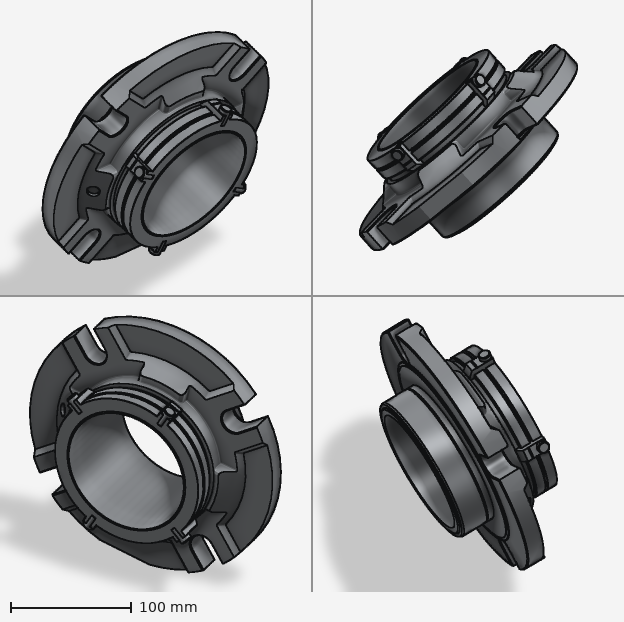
import cadquery as cq
import math


bore_d = 108.0
nose_d = 120.7
groove_d = 125.7
sleeve_d = 128.5
nose_len = 1.4
nose_chamfer = 1.1
sleeve_chamfer_len = 1.5
sleeve_chamfer_depth = 1.0
sleeve_groove_x = 25.3
sleeve_groove_w = 1.1
overall_len = 92.6
lip_d = 111.0

flange_d = 228.2
flange_x = 33.5
flange_back_x = 49.3
rim_chamfer = 1.0
raised_face_x = 32.2
raised_face_d = 165.0
raised_step_x = 32.9
raised_step_d = 171.2
raised_step_chamfer = 0.5

slot_count = 4
first_slot_angle = 32.2
slot_w = 21.0
slot_center_r = 94.0
slot_chamfer = 1.0
pad_x = 54.3
pad_base_w = 59.8
pad_top_w = 50.7

hub_d = 136.5
hub_end_x = 66.6
hub_fillet = 1.5
pad_fillet = 2.5
cone_pad_d = 167.5

boss_w = 43.0
boss_corner_r = 3.9
boss_end_x = 66.0
short_boss_end_x = 62.5
port_d = 11.0
port_depth = 3.2
port_x = 57.5

flat_chord = 48.2

ring_d = 134.9
ring_1_x = 71.5
ring_1_end_x = 81.5
ring_2_x = 83.0
ring_2_end_x = 92.2
ring_1_chamfer = 1.0
ring_2_chamfer = 0.2
pin_d = 3.7
pin_circle_d = 130.0
pin_count = 4

clip_angles = (60, 135, 240, 315)
clip_w = 11.2
clip_r = 72.5
clip_toe_r = 65.7
clip_mark_x = 76.0
clip_mark_w = 1.1
clip_mark_depth = 0.2
screw_d = 10.0
screw_top_r = 76.7
screw_chamfer = 0.7
screw_x = overall_len - screw_d / 2

TOLERANCE = 0.02
EMBED = 1.4

flange_r = flange_d / 2
root_r = groove_d / 2 - EMBED
slot_pitch = 360 / slot_count
slot_angles = [first_slot_angle + i * slot_pitch for i in range(slot_count)]
boss_angles = [angle + slot_pitch / 2 for angle in slot_angles]
short_boss_angle = boss_angles[0]
port_angle = boss_angles[1]
flat_angle = boss_angles[2]


def turned(points):
    """Revolve an (x, radius) outline about the X axis."""
    return cq.Workplane("XY").polyline(points).close().revolve(360, (0, 0, 0), (1, 0, 0))


def cylinder(diameter, start_x, end_x):
    return cq.Workplane("YZ", origin=(start_x, 0, 0)).circle(diameter / 2).extrude(end_x - start_x)


def cone_r(x):
    return cone_pad_d / 2 + pad_x - x


def about_axis(body, angle):
    """Turn a body built along +Y by an angle about X, measured from +Y towards +Z."""
    return body.rotate((0, 0, 0), (1, 0, 0), angle)


def make_sleeve():
    nose_r = nose_d / 2
    sleeve_r = sleeve_d / 2
    groove_r = groove_d / 2
    sleeve_groove_end_x = sleeve_groove_x + sleeve_groove_w
    return turned([
        (0, 0),
        (0, nose_r - nose_chamfer),
        (nose_chamfer, nose_r),
        (nose_len, nose_r),
        (nose_len, sleeve_r - sleeve_chamfer_depth),
        (nose_len + sleeve_chamfer_len, sleeve_r),
        (sleeve_groove_x, sleeve_r),
        (sleeve_groove_x, groove_r),
        (sleeve_groove_end_x, groove_r),
        (sleeve_groove_end_x, sleeve_r),
        (ring_1_end_x, sleeve_r),
        (ring_1_end_x, groove_r),
        (ring_2_end_x, groove_r),
        (ring_2_end_x, lip_d / 2),
        (overall_len, lip_d / 2),
        (overall_len, 0),
    ])


def make_slot_cutter():
    """Open slot from the rim inwards, flared at the front and at the pad face."""
    flared_w = slot_w + 2 * slot_chamfer

    def slot_outline(start_x, width):
        length = flange_r
        slot_plane = cq.Workplane("YZ", origin=(start_x, slot_center_r + length / 2, 0))
        return slot_plane.slot2D(length + width, width)

    through = slot_outline(0, slot_w).extrude(overall_len)
    front = slot_outline(flange_x, flared_w).extrude(slot_chamfer, taper=45)
    back = slot_outline(pad_x, flared_w).extrude(-slot_chamfer, taper=45)
    return through.union(front).union(back)


def make_pad():
    """Parallel pad with sloping sides, trimmed by the rim cylinder."""
    block = (
        cq.Workplane("XZ")
        .polyline([
            (flange_x + EMBED, -pad_base_w / 2),
            (flange_back_x, -pad_base_w / 2),
            (pad_x, -pad_top_w / 2),
            (pad_x, pad_top_w / 2),
            (flange_back_x, pad_base_w / 2),
            (flange_x + EMBED, pad_base_w / 2),
        ])
        .close()
        .extrude(-flange_d)
    )
    return block.intersect(cylinder(flange_d, flange_x, pad_x))


def make_flange():
    """Disc with a flat on its rim, raised steps in front and pads behind."""
    flange = cylinder(flange_d, flange_x, flange_back_x)
    flat_r = math.sqrt(flange_r ** 2 - (flat_chord / 2) ** 2)
    flat_cutter = cq.Workplane("XY").box(overall_len, flange_r, flange_d, centered=(False, False, True))
    flange = flange.cut(about_axis(flat_cutter.translate((0, flat_r, 0)), flat_angle))
    flange = flange.faces("<X").edges().chamfer(rim_chamfer)
    raised_step = cylinder(raised_step_d, raised_step_x, flange_back_x)
    flange = flange.union(raised_step.faces("<X").chamfer(raised_step_chamfer))
    flange = flange.union(cylinder(raised_face_d, raised_face_x, flange_back_x))
    pad = make_pad()
    for angle in slot_angles:
        flange = flange.union(about_axis(pad, angle))
    return flange


def make_hub():
    hub_r = hub_d / 2
    return turned([
        (flange_x, 0),
        (flange_x, cone_r(flange_back_x)),
        (flange_back_x, cone_r(flange_back_x)),
        (pad_x, cone_r(pad_x)),
        (pad_x, hub_r),
        (hub_end_x, hub_r),
        (hub_end_x, 0),
    ])


def make_boss(end_x):
    """Boss with rounded end corners, its outside on the hub cone."""
    block = (
        cq.Workplane("XY", origin=(flange_back_x, root_r, 0))
        .box(end_x - flange_back_x, flange_r, boss_w, centered=(False, False, True))
        .faces(">X")
        .edges("|Y")
        .fillet(boss_corner_r)
    )
    cone = turned([
        (flange_back_x, 0),
        (flange_back_x, cone_r(flange_back_x)),
        (end_x, cone_r(end_x)),
        (end_x, 0),
    ])
    return block.intersect(cone)


def axis_distance(point):
    return math.hypot(point.y, point.z)


def is_pad_root(edge):
    """Inner corner where a sloping pad side meets the cone."""
    start, end = sorted((edge.startPoint(), edge.endPoint()), key=lambda point: point.x)
    spans_pad = abs(start.x - flange_back_x) < TOLERANCE and abs(end.x - pad_x) < TOLERANCE
    return spans_pad and axis_distance(start) < slot_center_r


def is_hub_root(edge):
    """Inner corner where the hub meets the pad plane or a boss, or a boss side meets the pad plane."""
    points = [edge.startPoint(), edge.positionAt(0.5), edge.endPoint()]
    touches_hub = [abs(axis_distance(point) - hub_d / 2) < TOLERANCE for point in points]
    on_pad_plane = all(abs(point.x - pad_x) < TOLERANCE for point in points)
    before_hub_end = all(point.x < hub_end_x - TOLERANCE for point in points)
    return before_hub_end and (all(touches_hub) or on_pad_plane and any(touches_hub))


def make_port():
    """Blind hole square to the 45 degree cone."""
    mouth = cq.Plane(origin=(port_x, cone_r(port_x), 0), xDir=(0, 0, 1), normal=(1, 1, 0))
    floor = cq.Workplane(mouth).workplane(offset=-port_depth)
    return floor.circle(port_d / 2).extrude(2 * port_depth)


def make_ring(start_x, end_x, chamfer):
    return cylinder(ring_d, start_x, end_x).faces("<X or >X").chamfer(chamfer)


def make_clip():
    """Clip bar across both rings, its toe sloping to the sleeve, with a screw head."""
    bar = (
        cq.Workplane("XY", origin=(0, 0, -clip_w / 2))
        .polyline([
            (hub_end_x, root_r),
            (hub_end_x, clip_toe_r),
            (ring_1_x, clip_r),
            (clip_mark_x, clip_r),
            (clip_mark_x, clip_r - clip_mark_depth),
            (clip_mark_x + clip_mark_w, clip_r - clip_mark_depth),
            (clip_mark_x + clip_mark_w, clip_r),
            (ring_2_end_x, clip_r),
            (ring_2_end_x, root_r),
        ])
        .close()
        .extrude(clip_w)
    )
    head = (
        cq.Workplane("XZ", origin=(screw_x, root_r, 0))
        .circle(screw_d / 2)
        .extrude(root_r - screw_top_r)
        .faces(">Y")
        .chamfer(screw_chamfer)
    )
    return bar.union(head)


def make_pins():
    """Axial pins bridging the gap between the two rings."""
    return (
        cq.Workplane("YZ", origin=(ring_1_end_x - EMBED, 0, 0))
        .polarArray(pin_circle_d / 2, 0, 360, pin_count)
        .circle(pin_d / 2)
        .extrude(ring_2_x - ring_1_end_x + 2 * EMBED)
    )


body = make_flange().union(make_hub())
for angle in boss_angles:
    end_x = short_boss_end_x if angle == short_boss_angle else boss_end_x
    body = body.union(about_axis(make_boss(end_x), angle))

body = body.newObject([edge for edge in body.edges().vals() if is_hub_root(edge)]).fillet(hub_fillet)
body = body.newObject([edge for edge in body.edges().vals() if is_pad_root(edge)]).fillet(pad_fillet)

slot_cutter = make_slot_cutter()
for angle in slot_angles:
    body = body.cut(about_axis(slot_cutter, angle))
body = body.cut(about_axis(make_port(), port_angle))

body = body.union(make_sleeve())
body = body.union(make_ring(ring_1_x, ring_1_end_x, ring_1_chamfer))
body = body.union(make_ring(ring_2_x, ring_2_end_x, ring_2_chamfer))
body = body.union(make_pins())
clip = make_clip()
for angle in clip_angles:
    body = body.union(about_axis(clip, angle))

result = body.cut(cylinder(bore_d, 0, overall_len))